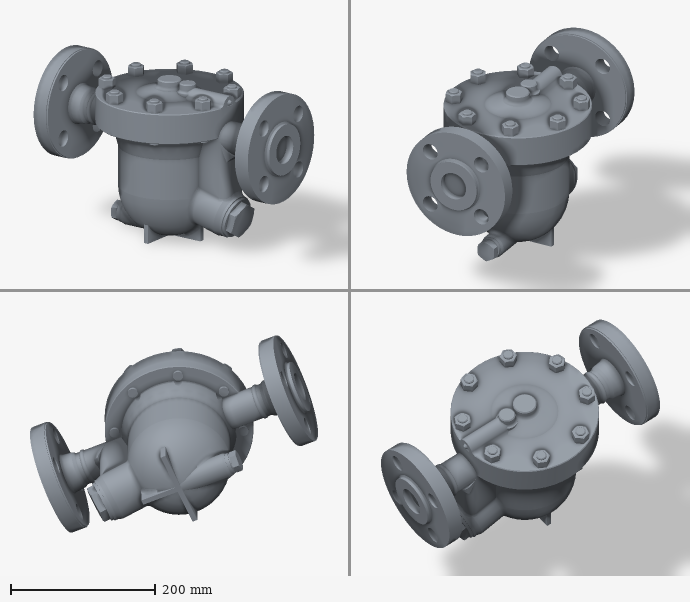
import cadquery as cq
import math


overall_length = 380.0
overall_height = 238.0
pipe_mid_x = 7.5

flange_dia = 156.0
flange_thickness = 21.0
flange_step_dia = 153.5
flange_step_thickness = 2.3
face_dia = 73.0
face_height = 6.5
face_root_height = 2.0
face_root_dia = 77.5
flange_hole_dia = 23.0
flange_hole_circle = 114.5
flange_hole_count = 4
bore_dia = 40.0
bore_depth = 11.5

pipe_dia = 46.0
hub_root_dia = 58.0
hub_dia = 55.0
hub_end_dia = 51.5
hub_root_length = 3.0
hub_length = 13.5
hub_taper_length = 5.0
bead_dia = 49.5
bead_gap = 5.5
bead_width = 7.0

body_dia = 143.0
body_neck_dia = 159.5
neck_z = -1.0
cone_bottom_z = -29.5
dome_z = -87.8
bottom_z = flange_dia / 2 - overall_height

cover_dia = 206.0
cover_top_z = 46.7
joint_z = 27.5
body_flange_bottom_z = 3.0
rim_chamfer = 1.0
cone_dia = 92.7
cone_top_z = 53.5

bolt_count = 8
bolt_circle = 178.2
stud_dia = 14.0
stud_top_z = 63.0
stud_bottom_z = -0.8
stud_chamfer = 1.0
nut_across_flats = 21.0
nut_height = 13.3
nut_turn = 22.5
spotface_dia = 22.5
spotface_depth = 15.2

cap_top_z = 66.0
cap_chamfer = 1.5
main_cap_dia = 33.0
main_cap_root = 5.0
side_cap_dia = 23.0
side_cap_root = 3.8
side_cap_x = 31.0
passage_radius = 13.3
passage_root = 5.7
passage_end_x = 102.5
nub_dia = 8.5
nub_tip_dia = 3.8
nub_length = 3.5
nub_z = 50.5

rib_end_x = 114.0
rib_corner_radius = 12.5
rib_bottom_z = -117.8
gusset_reach = 7.5
gusset_bottom_z = -28.5
gusset_outer_z = -21.0

strainer_tilt = 15.0
strainer_end_x = 126.5
strainer_end_z = -117.8
strainer_dia = 67.5
strainer_lip_dia = 62.5
strainer_washer_dia = 58.0
strainer_hex_dia = 53.0
strainer_hex_length = 10.3
strainer_washer_length = 4.0
strainer_lip_length = 3.8
strainer_round_length = 7.5
strainer_length = 98.8
strainer_fillet = 5.7

hex_chamfer_ratio = 0.05

drain_dia = 34.0
drain_lip_dia = 31.0
drain_washer_dia = 30.0
drain_neck_dia = 26.5
drain_hex_dia = 30.0
drain_end_x = -91.0
drain_hex_length = 9.5
drain_washer_length = 5.0
drain_neck_length = 1.5
drain_lip_length = 3.8
drain_blend_x = -34.2
drain_fillet = 3.8
drain_z = bottom_z + drain_dia / 2

margin = 1.0

foot_thickness = 7.2
foot_reach = 55.5
foot_height = 28.5
outlet_foot_blend_x = 30.5
outlet_foot_fillet = 5.7


def rod(dia, length):
    """Cylinder along +Z from the origin."""
    return cq.Workplane("XY").circle(dia / 2).extrude(length)


def body():
    radius = body_dia / 2
    flange_radius = cover_dia / 2
    profile = (
        cq.Workplane("XZ")
        .moveTo(0, dome_z - radius)
        .radiusArc((radius, dome_z), -radius)
        .lineTo(radius, cone_bottom_z)
        .lineTo(body_neck_dia / 2, neck_z)
        .lineTo(body_neck_dia / 2, body_flange_bottom_z)
        .lineTo(flange_radius - rim_chamfer, body_flange_bottom_z)
        .lineTo(flange_radius, body_flange_bottom_z + rim_chamfer)
        .lineTo(flange_radius, joint_z)
        .lineTo(0, joint_z)
        .close()
    )
    solid = profile.revolve(360, (0, 0, 0), (0, 1, 0))
    cutter = rod(spotface_dia, spotface_depth)
    cutter = cutter.translate((0, 0, body_flange_bottom_z - spotface_depth))
    return solid.cut(around_bolt_circle(cutter))


def cover():
    height = cover_top_z - joint_z
    disc = cq.Workplane("XY").workplane(offset=joint_z).circle(cover_dia / 2).extrude(height)
    disc = disc.faces(">Z").chamfer(rim_chamfer)
    cone = (
        cq.Workplane("XZ")
        .moveTo(0, joint_z)
        .lineTo(cone_dia / 2, joint_z)
        .lineTo(cone_dia / 2, cover_top_z)
        .lineTo(main_cap_dia / 2 + main_cap_root, cone_top_z)
        .lineTo(0, cone_top_z)
        .close()
        .revolve(360, (0, 0, 0), (0, 1, 0))
    )
    return disc.union(cone)


def cap(dia, root, base_z):
    """Chamfered round cap with a concave flare at its root."""
    radius = dia / 2
    return (
        cq.Workplane("XZ")
        .moveTo(0, joint_z)
        .lineTo(radius + root, joint_z)
        .lineTo(radius + root, base_z)
        .radiusArc((radius, base_z + root), root)
        .lineTo(radius, cap_top_z - cap_chamfer)
        .lineTo(radius - cap_chamfer, cap_top_z)
        .lineTo(0, cap_top_z)
        .close()
        .revolve(360, (0, 0, 0), (0, 1, 0))
    )


def passage():
    """Half-round passage on the cover, blended into the cover at both sides."""
    root_y = math.sqrt((passage_radius + passage_root) ** 2 - passage_root**2)
    touch = passage_radius / (passage_radius + passage_root)
    touch_y = root_y * touch
    touch_z = cover_top_z + passage_root * touch
    half_round = (
        cq.Workplane("YZ")
        .workplane(offset=side_cap_x)
        .moveTo(-root_y, joint_z)
        .lineTo(-root_y, cover_top_z)
        .radiusArc((-touch_y, touch_z), -passage_root)
        .threePointArc((0, cover_top_z + passage_radius), (touch_y, touch_z))
        .radiusArc((root_y, cover_top_z), -passage_root)
        .lineTo(root_y, joint_z)
        .close()
        .extrude(passage_end_x - side_cap_x)
    )
    half_round = half_round.intersect(rod(cover_dia, cap_top_z))
    nub_root = cq.Vector(passage_end_x, 0, nub_z)
    along_x = cq.Vector(1, 0, 0)
    nub = cq.Solid.makeCone(nub_dia / 2, nub_tip_dia / 2, nub_length, nub_root, along_x)
    return half_round.union(nub)


def around_bolt_circle(shape):
    """Copies of a shape standing on the Z axis, turned around the bolt circle."""
    pitch = 360 / bolt_count
    copies = cq.Workplane("XY")
    for index in range(bolt_count):
        angle = pitch * (index + 0.5)
        copies = copies.add(shape.translate((bolt_circle / 2, 0, 0)).rotate((0, 0, 0), (0, 0, 1), angle))
    return copies.combine()


def stud_with_nut():
    stud = rod(stud_dia, stud_top_z - stud_bottom_z).faces(">Z").chamfer(stud_chamfer)
    stud = stud.translate((0, 0, stud_bottom_z))
    across_corners = nut_across_flats / math.cos(math.radians(30))
    blank = rod(across_corners, nut_height).faces(">Z").chamfer(stud_chamfer, 2 * stud_chamfer)
    nut = cq.Workplane("XY").polygon(6, across_corners).extrude(nut_height).intersect(blank)
    nut = nut.rotate((0, 0, 0), (0, 0, 1), nut_turn).translate((0, 0, cover_top_z))
    return stud.union(nut)


def pipe_run():
    """One pipe with weld bead, hub and drilled flange, along +X from the middle."""
    end = overall_length / 2
    disc_front = end - face_height
    disc_back = disc_front - flange_thickness
    step_back = disc_back - flange_step_thickness
    hub_start = step_back - hub_root_length
    taper_start = hub_start - hub_length
    taper_end = taper_start - hub_taper_length
    bead_start = taper_end - bead_gap
    bead_end = bead_start - bead_width
    pipe_radius = pipe_dia / 2
    run = (
        cq.Workplane("XY")
        .moveTo(0, 0)
        .lineTo(0, pipe_radius)
        .lineTo(bead_end, pipe_radius)
        .threePointArc(((bead_start + bead_end) / 2, bead_dia / 2), (bead_start, pipe_radius))
        .lineTo(taper_end, pipe_radius)
        .lineTo(taper_start, hub_end_dia / 2)
        .lineTo(hub_start, hub_dia / 2)
        .lineTo(step_back, hub_root_dia / 2)
        .lineTo(step_back, flange_step_dia / 2)
        .lineTo(disc_back, flange_step_dia / 2)
        .lineTo(disc_back, flange_dia / 2)
        .lineTo(disc_front, flange_dia / 2)
        .lineTo(disc_front, face_root_dia / 2)
        .lineTo(disc_front + face_root_height, face_dia / 2)
        .lineTo(end, face_dia / 2)
        .lineTo(end, 0)
        .close()
        .revolve(360, (0, 0, 0), (1, 0, 0))
    )
    bore = cq.Workplane("YZ").workplane(offset=end - bore_depth).circle(bore_dia / 2).extrude(bore_depth)
    holes = (
        cq.Workplane("YZ")
        .workplane(offset=step_back)
        .polarArray(flange_hole_circle / 2, 180 / flange_hole_count, 360, flange_hole_count)
        .circle(flange_hole_dia / 2)
        .extrude(disc_front - step_back)
    )
    return run.cut(bore).cut(holes)


def rib_column(end_x):
    """Upright column under the pipe with its two outer corners rounded."""
    height = -rib_bottom_z
    column = cq.Workplane("XY").box(end_x, pipe_dia, height, centered=(False, True, False))
    return column.edges("|Z and >X").fillet(rib_corner_radius).translate((0, 0, rib_bottom_z))


def outlet_gusset():
    """Sloping corner that carries the end of the rib out to the underside of the pipe."""
    corner_x = rib_end_x - rib_corner_radius
    outer_x = rib_end_x + gusset_reach
    wedge = (
        cq.Workplane("XZ")
        .polyline([(corner_x, 0), (rib_end_x, gusset_bottom_z), (outer_x, gusset_outer_z)])
        .close()
        .extrude(pipe_dia / 2, both=True)
    )
    return wedge.intersect(rib_column(outer_x))


def plugged_boss(outline, hex_dia, hex_length):
    """Stepped round boss whose outer end, a hex plug head, lies at the origin.

    The outline lists (distance behind the outer end, diameter) towards the body."""
    points = [(dia / 2, -depth) for depth, dia in outline]
    steps = (
        cq.Workplane("XZ")
        .polyline([(0, points[0][1])] + points + [(0, points[-1][1])])
        .close()
        .revolve(360, (0, 0, 0), (0, 1, 0))
    )
    chamfer = hex_dia * hex_chamfer_ratio
    blank = rod(hex_dia, hex_length).faces(">Z").chamfer(chamfer / 2, chamfer)
    head = cq.Workplane("XY").polygon(6, hex_dia).extrude(hex_length).intersect(blank)
    return steps.union(head.translate((0, 0, -hex_length)))


def strainer_boss():
    washer_start = strainer_hex_length
    lip_start = washer_start + strainer_washer_length
    round_start = lip_start + strainer_lip_length
    full_start = round_start + strainer_round_length
    outline = [
        (washer_start, strainer_washer_dia),
        (lip_start, strainer_washer_dia),
        (lip_start, strainer_lip_dia),
        (round_start, strainer_lip_dia),
        (full_start, strainer_dia),
        (strainer_length, strainer_dia),
    ]
    boss = plugged_boss(outline, strainer_hex_dia, strainer_hex_length)
    boss = boss.rotate((0, 0, 0), (0, 1, 0), 90 + strainer_tilt)
    return boss.translate((strainer_end_x, 0, strainer_end_z))


def drain_boss(root_x):
    """Drain boss and plug with the boss running in to root_x."""
    neck_start = drain_hex_length
    washer_start = neck_start + drain_neck_length
    lip_start = washer_start + drain_washer_length
    full_start = lip_start + drain_lip_length
    outline = [
        (neck_start, drain_neck_dia),
        (washer_start, drain_neck_dia),
        (washer_start, drain_washer_dia),
        (lip_start, drain_washer_dia),
        (lip_start, drain_lip_dia),
        (full_start, drain_dia),
        (root_x - drain_end_x, drain_dia),
    ]
    boss = plugged_boss(outline, drain_hex_dia, drain_hex_length)
    return boss.rotate((0, 0, 0), (0, 1, 0), -90).translate((drain_end_x, 0, drain_z))


def cross_foot():
    foot = cq.Workplane("XY").box(foot_thickness, 2 * foot_reach, foot_height, centered=(True, True, False))
    return foot.translate((0, 0, bottom_z))


def outlet_foot(start_x):
    length = foot_reach - start_x
    foot = cq.Workplane("XY").box(length, foot_thickness, foot_height, centered=(False, True, False))
    return foot.translate((start_x, 0, bottom_z))


def edge_box(x_range, half_width, z_range):
    """Selector for the edges that lie fully inside a box centred on Y = 0."""
    low = (x_range[0], -half_width, z_range[0])
    high = (x_range[1], half_width, z_range[1])
    return cq.selectors.BoxSelector(low, high, boundingbox=True)


def with_strainer(shell):
    """Add the rib and the strainer boss, and blend the boss into rib and body."""
    joined = shell.union(rib_column(rib_end_x)).union(strainer_boss())
    reach = body_dia / 2
    seam_top_z = dome_z + reach / 2
    body_seam = edge_box((reach / 2, reach), reach, (bottom_z, seam_top_z))
    rib_seam = edge_box((reach / 2, rib_end_x + margin), reach, (dome_z, seam_top_z))
    return joined.edges(body_seam + rib_seam).fillet(strainer_fillet)


def with_drain(shell):
    """Add the drain boss, blend it into the dome and run it on under the dome."""
    joined = shell.union(drain_boss(drain_blend_x))
    below_dome = edge_box((-body_dia / 2, drain_blend_x + margin), drain_dia, (bottom_z + margin, dome_z))
    blended = joined.edges(below_dome).edges("%BSPLINE").fillet(drain_fillet)
    return blended.union(drain_boss(0))


def with_feet(shell):
    """Add the two feet and blend the outlet foot into the dome."""
    joined = shell.union(outlet_foot(outlet_foot_blend_x))
    sides = cq.selectors.BoxSelector(
        (outlet_foot_blend_x + margin, -foot_thickness, bottom_z + margin),
        (foot_reach - margin, foot_thickness, dome_z),
    )
    return joined.edges(sides).fillet(outlet_foot_fillet).union(outlet_foot(0)).union(cross_foot())


shell = body()
result = with_strainer(shell).union(with_drain(shell)).union(with_feet(shell))
result = result.union(outlet_gusset())
outlet_run = pipe_run()
inlet_run = outlet_run.mirror("YZ")
result = result.union(outlet_run.translate((pipe_mid_x, 0, 0)))
result = result.union(inlet_run.translate((pipe_mid_x, 0, 0)))
result = result.union(cover())
result = result.union(passage())
result = result.union(cap(main_cap_dia, main_cap_root, cone_top_z))
result = result.union(cap(side_cap_dia, side_cap_root, cone_top_z).translate((side_cap_x, 0, 0)))
result = result.union(around_bolt_circle(stud_with_nut()))